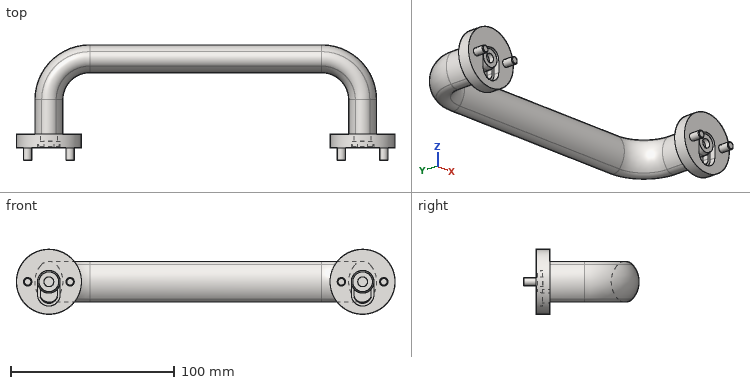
import cadquery as cq

flange_diameter = 40.0
overall_length = 232.0
overall_depth = 71.0
leg_x = (overall_length - flange_diameter) / 2

pin_diameter = 5.0
pin_length = 8.0
pin_offset = 13.0
pin_chamfer = 0.5

flange_thickness = 8.4
flange_back_y = pin_length
flange_front_y = flange_back_y + flange_thickness

tube_width = 17.2
tube_height = 25.0
tube_end_radius = 6.0
bend_radius = 25.0
grip_y = overall_depth - tube_width / 2

slot_width = 14.0
slot_drop = 8.0
slot_depth = 4.0
inner_slot_width = 10.5

head_base_diameter = slot_width
head_tip_diameter = 12.0
head_recess = 0.7
socket_diameter = 6.0
socket_depth = 3.5


def cylinder(x, y, z, diameter, length):
    """Cylinder along +Y that starts at the given point."""
    base = cq.Vector(x, y, z)
    return cq.Workplane(cq.Solid.makeCylinder(diameter / 2, length, base, cq.Vector(0, 1, 0)))


def slot(x, y, width, depth):
    """Vertical slot from the flange centre downwards, cut along +Y."""
    upper = cylinder(x, y, 0, width, depth)
    lower = cylinder(x, y, -slot_drop, width, depth)
    middle = cq.Workplane().box(width, depth, slot_drop).translate((x, y + depth / 2, -slot_drop / 2))
    return upper.union(middle).union(lower)


def make_tube():
    """U-shaped tube of oval section, from one flange to the other."""
    half_width = tube_width / 2
    half_height = tube_height / 2
    end_centre = half_height - tube_end_radius
    squares = half_width**2 + end_centre**2 - tube_end_radius**2
    side_radius = squares / (2 * (half_width - tube_end_radius))
    side_centre = side_radius - half_width
    centre_distance = side_radius - tube_end_radius
    join_x = tube_end_radius * side_centre / centre_distance
    join_z = end_centre + tube_end_radius * end_centre / centre_distance

    path = (
        cq.Workplane("XY")
        .moveTo(-leg_x, flange_front_y)
        .lineTo(-leg_x, grip_y - bend_radius)
        .tangentArcPoint((bend_radius, bend_radius))
        .lineTo(leg_x - bend_radius, grip_y)
        .tangentArcPoint((bend_radius, -bend_radius))
        .lineTo(leg_x, flange_front_y)
    )
    section = (
        cq.Workplane("XZ", origin=(-leg_x, flange_front_y, 0))
        .moveTo(join_x, join_z)
        .threePointArc((0, half_height), (-join_x, join_z))
        .threePointArc((-half_width, 0), (-join_x, -join_z))
        .threePointArc((0, -half_height), (join_x, -join_z))
        .threePointArc((half_width, 0), (join_x, join_z))
        .close()
    )
    return section.sweep(path)


def make_flange(x):
    """Round flange with stepped slot, screw head and two pins."""
    flange = cylinder(x, flange_back_y, 0, flange_diameter, flange_thickness)
    flange = flange.cut(slot(x, flange_back_y, slot_width, slot_depth))
    flange = flange.cut(slot(x, flange_back_y, inner_slot_width, flange_thickness))

    for pin_x in (x - pin_offset, x + pin_offset):
        pin = cylinder(pin_x, 0, 0, pin_diameter, pin_length)
        flange = flange.union(pin.faces("<Y").chamfer(pin_chamfer))

    head_y = flange_back_y + head_recess
    head = cq.Workplane(
        cq.Solid.makeCone(
            head_tip_diameter / 2,
            head_base_diameter / 2,
            slot_depth - head_recess,
            cq.Vector(x, head_y, 0),
            cq.Vector(0, 1, 0),
        )
    )
    core_y = flange_back_y + slot_depth
    core = cylinder(x, core_y, 0, head_base_diameter, flange_thickness - slot_depth)
    socket = cylinder(x, head_y, 0, socket_diameter, socket_depth)
    return flange.union(head).union(core).cut(socket)


result = make_tube().union(make_flange(-leg_x)).union(make_flange(leg_x))